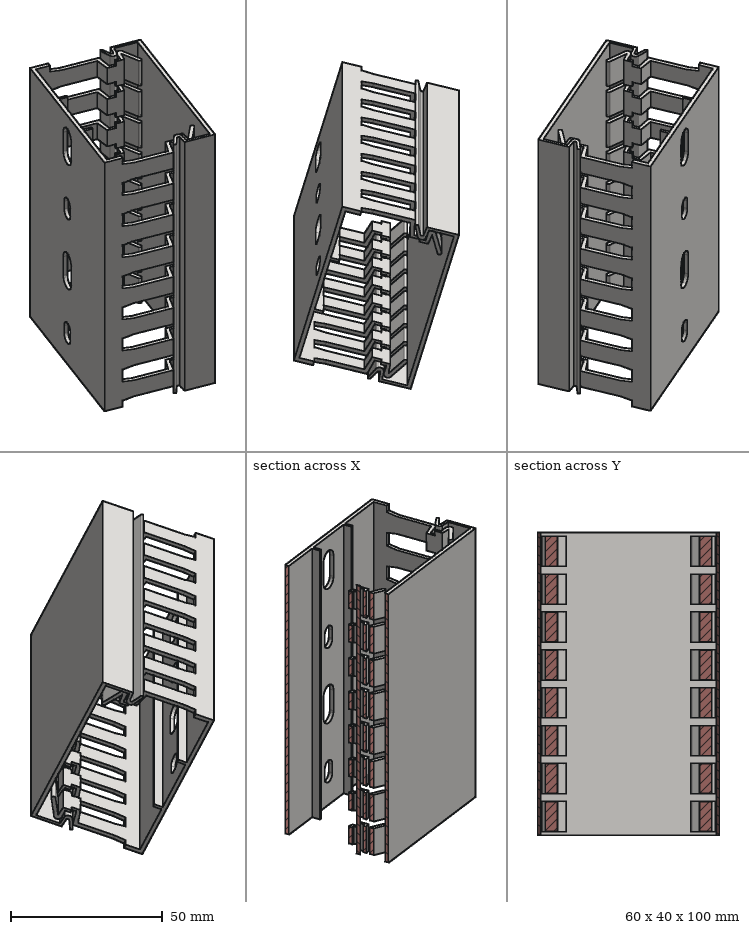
import cadquery as cq
import math

WIDTH = 60.0
DEPTH = 40.0
LENGTH = 100.0
LEFT = -WIDTH / 2

BACK_THICKNESS = 1.5
WALL_THICKNESS = 1.5
WALL_TOP = 25.0
GROOVE_WALL_THICKNESS = 1.0
GROOVE_DEPTH = 5.6
GROOVE_LOW = 26.1
GROOVE_HIGH = 30.1
INNER_WALL_TOP = 23.7
SHOULDER_TOP = 31.2

BEND_INSET = 3.1
BEND_Y = 31.6
BEND_SIDE_INSET = 1.4
BEND_SIDE_Y = 31.3
TONGUE_THICKNESS = 1.4
TONGUE_LENGTH = 7.0
TONGUE_ANGLE = 30.0

RIB_SPACING = 20.0
RIB_THICKNESS = 1.0
RIB_TOP = 4.5

FINGER_COUNT = 8
FINGER_PITCH = LENGTH / FINGER_COUNT
SLOT_WIDTH = 6.0
SLOT_FLOOR_WIDTH = 4.8
SLOT_FLOOR = 6.6
SLOT_TAPER_END = 10.6
SLOT_NECK = 28.2
HEAD_GAP = 2.5

MOUNT_PITCH = LENGTH / 2
LARGE_MOUNT = (14.0, 6.3)
LARGE_MOUNT_Z = 37.5
SMALL_MOUNT = (8.0, 4.8)
SMALL_MOUNT_Z = 12.5

COVER_THICKNESS = 1.5
FLANGE_THICKNESS = 1.0
FLANGE_BOTTOM = 29.0
HOOK_SHOULDER = 30.0
LIP_RADIUS = 0.5
LIP_Y = 25.7
LIP_ANGLE = 27.0
HOOK_BEND_Y = 28.1
HOOK_REACH = 5.1
HOOK_ARC_START = 4.2
HOOK_ARC_HIGH = 29.7
HOOK_ARC_LOW = 26.9
NOTCH_REACH = 3.6
NOTCH_ARC_START = 3.3
NOTCH_ARC_HIGH = 28.7
NOTCH_ARC_LOW = 27.7


def inset(distance, y):
    """Point at a distance inward from the left outer face."""
    return (LEFT + distance, y)


def mirrored_profile(half_outline):
    """Extrude the left half of a cross-section and join it to its mirror image."""
    left_half = half_outline.close().extrude(LENGTH)
    return left_half.union(left_half.mirror("YZ"))


def from_bend(along, across):
    """Point relative to the tongue bend: along the tongue, then toward its outer side."""
    angle = math.radians(TONGUE_ANGLE)
    x = along * math.cos(angle) - across * math.sin(angle)
    y = along * math.sin(angle) + across * math.cos(angle)
    return inset(BEND_INSET + x, BEND_Y + y)


def duct_profile():
    """Back plate, side walls, snap grooves and guide tongues, full length."""
    groove_back = GROOVE_DEPTH + GROOVE_WALL_THICKNESS
    bend_bottom = inset(BEND_INSET, GROOVE_HIGH)
    bend_side = inset(BEND_SIDE_INSET, BEND_SIDE_Y)
    tip_radius = TONGUE_THICKNESS / 2
    outline = (
        cq.Workplane("XY")
        .moveTo(0, 0)
        .lineTo(*inset(0, 0))
        .lineTo(*inset(0, WALL_TOP))
        .lineTo(*inset(GROOVE_DEPTH, GROOVE_LOW))
        .lineTo(*inset(GROOVE_DEPTH, GROOVE_HIGH))
        .lineTo(*bend_bottom)
        .threePointArc(bend_side, from_bend(0, TONGUE_THICKNESS))
        .lineTo(*from_bend(TONGUE_LENGTH, TONGUE_THICKNESS))
        .threePointArc(from_bend(TONGUE_LENGTH + tip_radius, tip_radius), from_bend(TONGUE_LENGTH, 0))
        .lineTo(*from_bend(0, 0))
        .lineTo(*inset(groove_back, SHOULDER_TOP))
        .lineTo(*inset(groove_back, WALL_TOP))
        .lineTo(*inset(WALL_THICKNESS, INNER_WALL_TOP))
        .lineTo(*inset(WALL_THICKNESS, BACK_THICKNESS))
        .lineTo(0, BACK_THICKNESS)
    )
    return mirrored_profile(outline)


def ribs():
    """Pair of ribs standing on the inside of the back plate."""
    return (
        cq.Workplane("XY")
        .pushPoints([(-RIB_SPACING / 2, 0), (RIB_SPACING / 2, 0)])
        .box(RIB_THICKNESS, RIB_TOP, LENGTH, centered=(True, False, False))
    )


def wire_slots():
    """Tapered slots through both side walls, with half a slot at each end."""
    slot = (
        cq.Workplane("YZ", origin=(LEFT, 0, 0))
        .moveTo(SLOT_FLOOR, -SLOT_FLOOR_WIDTH / 2)
        .lineTo(SLOT_TAPER_END, -SLOT_WIDTH / 2)
        .lineTo(SLOT_NECK, -SLOT_WIDTH / 2)
        .lineTo(SLOT_NECK, -HEAD_GAP / 2)
        .lineTo(DEPTH, -HEAD_GAP / 2)
        .lineTo(DEPTH, HEAD_GAP / 2)
        .lineTo(SLOT_NECK, HEAD_GAP / 2)
        .lineTo(SLOT_NECK, SLOT_WIDTH / 2)
        .lineTo(SLOT_TAPER_END, SLOT_WIDTH / 2)
        .lineTo(SLOT_FLOOR, SLOT_FLOOR_WIDTH / 2)
        .close()
        .extrude(WIDTH)
    )
    slots = cq.Workplane("XY")
    for index in range(FINGER_COUNT + 1):
        slots = slots.add(slot.translate((0, 0, index * FINGER_PITCH)))
    return slots.combine()


def mounting_slots(size, lowest_z):
    """Upright rounded slots through the middle of the back plate."""
    length, width = size
    return (
        cq.Workplane("XZ")
        .pushPoints([(0, lowest_z), (0, lowest_z + MOUNT_PITCH)])
        .slot2D(length, width, angle=90)
        .extrude(-BACK_THICKNESS)
    )


def make_duct():
    """Slotted duct that carries the wires."""
    return (
        duct_profile()
        .union(ribs())
        .cut(wire_slots())
        .cut(mounting_slots(LARGE_MOUNT, LARGE_MOUNT_Z))
        .cut(mounting_slots(SMALL_MOUNT, SMALL_MOUNT_Z))
        .solids()
    )


def make_cover():
    """Snap-on cover with an inward hook along each side."""
    face_inside = DEPTH - COVER_THICKNESS
    lip_across = LIP_RADIUS * math.sin(math.radians(LIP_ANGLE))
    lip_rise = LIP_RADIUS * math.cos(math.radians(LIP_ANGLE))
    lip_top = inset(LIP_RADIUS - lip_across, LIP_Y + lip_rise)
    lip_bottom = inset(LIP_RADIUS + lip_across, LIP_Y - lip_rise)
    outline = (
        cq.Workplane("XY")
        .moveTo(0, DEPTH)
        .lineTo(*inset(0, DEPTH))
        .lineTo(*inset(0, FLANGE_BOTTOM))
        .lineTo(*inset(NOTCH_ARC_START, NOTCH_ARC_HIGH))
        .threePointArc(inset(NOTCH_REACH, HOOK_BEND_Y), inset(NOTCH_ARC_START, NOTCH_ARC_LOW))
        .lineTo(*lip_top)
        .threePointArc(inset(0, LIP_Y), lip_bottom)
        .lineTo(*inset(HOOK_ARC_START, HOOK_ARC_LOW))
        .threePointArc(inset(HOOK_REACH, HOOK_BEND_Y), inset(HOOK_ARC_START, HOOK_ARC_HIGH))
        .lineTo(*inset(FLANGE_THICKNESS, HOOK_SHOULDER))
        .lineTo(*inset(FLANGE_THICKNESS, face_inside))
        .lineTo(0, face_inside)
    )
    return mirrored_profile(outline).solids()


duct = make_duct()
cover = make_cover()
result = cq.Compound.makeCompound([duct.val(), cover.val()])